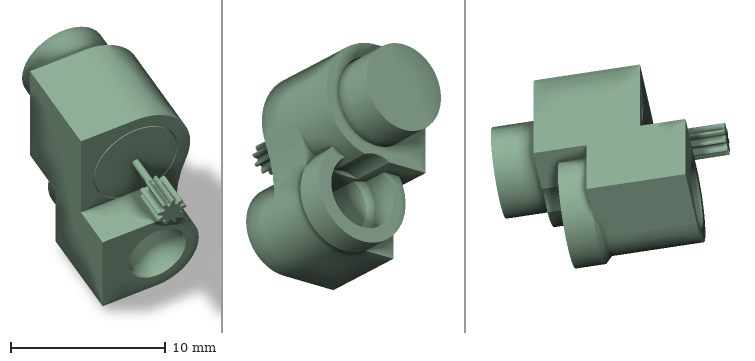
import cadquery as cq
import math

motor_front = 0.0
housing_front = 3.0
ring_front = 4.5
ring_back = 6.5
housing_back = 10.0
block_back = 13.0
pinion_front = 12.54
shaft_end = 15.0

axis_spacing = 5.8
upper_radius = 4.0
lower_radius = 3.05
ring_radius = 3.5
flat_side = -upper_radius
web_fillet_radius = 9.0

motor_radius = 3.0
motor_clearance = 0.09
shaft_radius = 0.25

counterbore_radius = 2.5
bore_radius = 2.1

tooth_count = 9
pinion_tip_radius = 1.06
pinion_flank_radius = 0.95
pinion_neck_radius = 0.8
pinion_root_radius = 0.66
tip_half_angle = 2.8
flank_half_angle = 7.8
neck_half_angle = 11.0
first_tooth_angle = 83.4


def yz_plane(x):
    """Plane at the given X whose local axes are Y and Z."""
    return cq.Workplane("YZ", origin=(x, 0, 0))


def cylinder(x_start, x_end, radius, z=0.0):
    return yz_plane(x_start).center(0, z).circle(radius).extrude(x_end - x_start)


def cone(x_start, start_radius, end_radius, z):
    """45 degree cone narrowing towards +X."""
    length = start_radius - end_radius
    return (
        yz_plane(x_start).center(0, z).circle(start_radius)
        .workplane(offset=length).circle(end_radius).loft()
    )


def d_section(x_start, x_end, radius, z):
    """Half-round on the +Y side and square out to the flat -Y side."""
    return (
        yz_plane(x_start)
        .moveTo(flat_side, z - radius)
        .lineTo(0, z - radius)
        .threePointArc((radius, z), (0, z + radius))
        .lineTo(flat_side, z + radius)
        .close()
        .extrude(x_end - x_start)
    )


def web():
    """Fill between the two rounds, with a concave arc tangent to both."""
    upper_reach = upper_radius + web_fillet_radius
    lower_reach = lower_radius + web_fillet_radius
    drop = (axis_spacing**2 + upper_reach**2 - lower_reach**2) / (2 * axis_spacing)
    center_y = math.sqrt(upper_reach**2 - drop**2)
    upper_share = upper_radius / upper_reach
    lower_share = lower_radius / lower_reach
    upper_tangent = (center_y * upper_share, -drop * upper_share)
    lower_tangent = (
        center_y * lower_share,
        -axis_spacing + (axis_spacing - drop) * lower_share,
    )
    middle_y = (upper_tangent[0] + lower_tangent[0]) / 2 - center_y
    middle_z = (upper_tangent[1] + lower_tangent[1]) / 2 + drop
    scale = web_fillet_radius / math.hypot(middle_y, middle_z)
    arc_middle = (center_y + middle_y * scale, -drop + middle_z * scale)
    return (
        yz_plane(ring_back)
        .moveTo(0, 0)
        .lineTo(*upper_tangent)
        .threePointArc(arc_middle, lower_tangent)
        .lineTo(0, -axis_spacing)
        .close()
        .extrude(housing_back - ring_back)
    )


def make_housing():
    lower = d_section(ring_back, housing_back, lower_radius, -axis_spacing)
    lower = lower.union(web())
    lower = lower.union(cylinder(ring_front, ring_back, ring_radius, -axis_spacing))
    lower = lower.union(cone(ring_back, ring_radius, lower_radius, -axis_spacing))
    lower = lower.cut(cylinder(ring_front, ring_back, counterbore_radius, -axis_spacing))
    lower = lower.cut(cone(ring_back, counterbore_radius, bore_radius, -axis_spacing))
    lower = lower.cut(cylinder(ring_back, housing_back, bore_radius, -axis_spacing))

    upper = d_section(housing_front, housing_back, upper_radius, 0)
    upper = upper.cut(cylinder(housing_front, ring_back, bore_radius, -axis_spacing))

    motor_hole = cylinder(housing_front, housing_back, motor_radius + motor_clearance)
    return upper.union(lower).cut(motor_hole)


def make_end_block():
    block = d_section(housing_back, block_back, lower_radius, -axis_spacing)
    return block.cut(cylinder(housing_back, block_back, bore_radius, -axis_spacing))


def make_motor():
    can = cylinder(motor_front, housing_back, motor_radius)
    return can.union(cylinder(housing_back, shaft_end, shaft_radius))


def polar(radius, degrees):
    angle = math.radians(degrees)
    return (radius * math.cos(angle), radius * math.sin(angle))


def make_pinion():
    """Toothed wheel with convex flanks and round gaps, bored for the shaft."""
    pitch = 360 / tooth_count
    outline = yz_plane(pinion_front).moveTo(
        *polar(pinion_tip_radius, first_tooth_angle - tip_half_angle)
    )
    for tooth in range(tooth_count):
        angle = first_tooth_angle + tooth * pitch
        next_angle = angle + pitch
        outline = (
            outline
            .threePointArc(
                polar(pinion_tip_radius, angle),
                polar(pinion_tip_radius, angle + tip_half_angle),
            )
            .threePointArc(
                polar(pinion_flank_radius, angle + flank_half_angle),
                polar(pinion_neck_radius, angle + neck_half_angle),
            )
            .threePointArc(
                polar(pinion_root_radius, angle + pitch / 2),
                polar(pinion_neck_radius, next_angle - neck_half_angle),
            )
            .threePointArc(
                polar(pinion_flank_radius, next_angle - flank_half_angle),
                polar(pinion_tip_radius, next_angle - tip_half_angle),
            )
        )
    wheel = outline.close().extrude(shaft_end - pinion_front)
    return wheel.cut(cylinder(pinion_front, shaft_end, shaft_radius))


housing = make_housing()
end_block = make_end_block()
motor = make_motor()
pinion = make_pinion()

result = cq.Compound.makeCompound(
    [housing.val(), end_block.val(), motor.val(), pinion.val()]
)